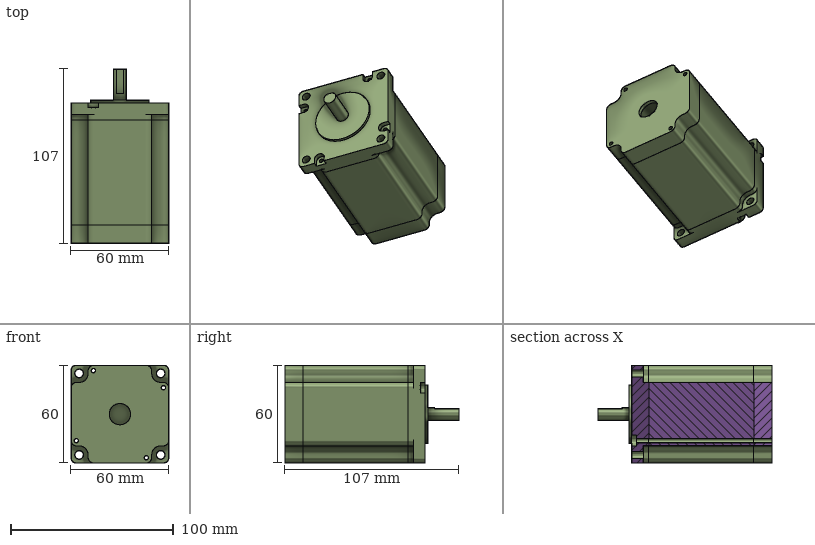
import cadquery as cq
import math


overall_length = 107.0
rear_cap_length = 11.2
stator_length = 64.5
flange_back_y = 79.0
flange_front_y = 86.2
boss_height = 1.6
stator_front_y = rear_cap_length + stator_length

width = 60.0
half_width = width / 2
flange_corner_radius = 3.1
notch_depth = 10.5
notch_outer_radius = 3.5
notch_inner_radius = 5.4

mount_hole_offset = 25.0
mount_hole_diameter = 5.1

screw_side_offset = 16.3
screw_edge_offset = 26.8
screw_hole_diameter = 2.5
screw_slot_width = 6.4
screw_slot_depth = 3.0

boss_diameter = 36.0
shaft_diameter = 8.0
shaft_flat_height = 3.4
shaft_flat_length = 15.0
bore_diameter = 13.1
bore_lip_length = 2.2
recess_diameter = 19.0

quarter_turns = [0, 90, 180, 270]


def section_at(y):
    """Workplane across the motor at the given y, with local axes along +X and +Z."""
    return cq.Workplane("XZ", origin=(0, y, 0))


def prism(section, length):
    """Extrude a section toward +Y, which is against the normal of the XZ plane."""
    return section.extrude(-length)


def cylinder(diameter, start_y, end_y):
    return prism(section_at(start_y).circle(diameter / 2), end_y - start_y)


def square_block(start_y, end_y):
    return prism(section_at(start_y).rect(width, width), end_y - start_y)


def about_motor_axis(shape, angle):
    return shape.rotate((0, 0, 0), (0, 1, 0), angle)


def corner_notch(start_y, end_y):
    """Material removed at the +X +Z corner: a hollow corner that rolls over onto both sides."""
    wall = half_width - notch_depth
    round_centre = half_width - notch_outer_radius
    round_start = wall - notch_outer_radius
    round_diagonal = notch_outer_radius * math.sqrt(0.5)
    hollow_centre = wall + notch_inner_radius
    hollow_middle = hollow_centre - notch_inner_radius * math.sqrt(0.5)
    outline = (
        section_at(start_y)
        .moveTo(round_start, half_width)
        .threePointArc(
            (round_start + round_diagonal, round_centre + round_diagonal),
            (wall, round_centre),
        )
        .lineTo(wall, hollow_centre)
        .threePointArc((hollow_middle, hollow_middle), (hollow_centre, wall))
        .lineTo(round_centre, wall)
        .threePointArc(
            (round_centre + round_diagonal, round_start + round_diagonal),
            (half_width, round_start),
        )
        .lineTo(half_width, half_width)
        .close()
    )
    return prism(outline, end_y - start_y)


def notched_block(start_y, end_y):
    """Square block with a notch along each corner and a screw hole beside each notch."""
    block = square_block(start_y, end_y)
    notch = corner_notch(start_y, end_y)
    for angle in quarter_turns:
        block = block.cut(about_motor_axis(notch, angle))
    return cut_screw_holes(block, start_y, end_y)


def cut_screw_holes(body, start_y, end_y):
    hole = cylinder(screw_hole_diameter, start_y, end_y).translate(
        (-screw_side_offset, 0, screw_edge_offset)
    )
    for angle in quarter_turns:
        body = body.cut(about_motor_axis(hole, angle))
    return body


def cut_screw_slots(body):
    """Round-bottomed slots in the front face, from each screw hole out through the nearest side."""
    start_y = flange_front_y - screw_slot_depth
    round_end = cylinder(screw_slot_width, start_y, flange_front_y).translate(
        (-screw_side_offset, 0, screw_edge_offset)
    )
    channel_length = half_width - screw_edge_offset
    channel_centre = screw_edge_offset + channel_length / 2
    channel = prism(
        section_at(start_y)
        .center(-screw_side_offset, channel_centre)
        .rect(screw_slot_width, channel_length),
        screw_slot_depth,
    )
    for angle in quarter_turns:
        body = body.cut(about_motor_axis(round_end, angle))
        body = body.cut(about_motor_axis(channel, angle))
    return body


def make_flange():
    """Square plate with rounded corners, mounting holes, and screw holes with slots."""
    plate = square_block(flange_back_y, flange_front_y).edges("|Y").fillet(flange_corner_radius)
    mount_holes = prism(
        section_at(flange_back_y)
        .rect(2 * mount_hole_offset, 2 * mount_hole_offset, forConstruction=True)
        .vertices()
        .circle(mount_hole_diameter / 2),
        flange_front_y - flange_back_y,
    )
    plate = cut_screw_holes(plate.cut(mount_holes), flange_back_y, flange_front_y)
    return cut_screw_slots(plate)


def make_shaft():
    """Round shaft with one flat on its +Z side, at the free end."""
    shaft = cylinder(shaft_diameter, flange_front_y, overall_length)
    cut_height = shaft_diameter / 2
    flat = prism(
        section_at(overall_length - shaft_flat_length)
        .center(0, shaft_flat_height + cut_height / 2)
        .rect(shaft_diameter, cut_height),
        shaft_flat_length,
    )
    return shaft.cut(flat)


def make_rear_cap():
    """Notched end block with a rear bore that widens to a recess behind a thin lip."""
    bore = cylinder(bore_diameter, 0, bore_lip_length)
    recess = cylinder(recess_diameter, bore_lip_length, rear_cap_length)
    return notched_block(0, rear_cap_length).cut(bore).cut(recess)


def make_stator():
    return notched_block(rear_cap_length, stator_front_y)


def make_front_cap():
    neck = notched_block(stator_front_y, flange_back_y)
    boss = cylinder(boss_diameter, flange_front_y, flange_front_y + boss_height)
    return neck.union(make_flange()).union(boss).union(make_shaft())


rear_cap = make_rear_cap()
stator = make_stator()
front_cap = make_front_cap()

result = cq.Compound.makeCompound([rear_cap.val(), stator.val(), front_cap.val()])